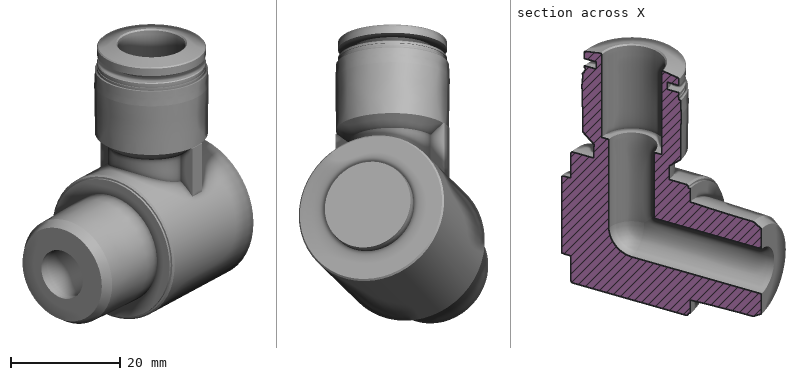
import cadquery as cq

body_diameter = 28.0
body_back = 12.8
body_front = -11.9
back_bevel = 0.3
front_bevel = 0.3
shoulder_diameter = 26.7
shoulder_front = -12.3
overall_y = 42.0
cap_back = 14.7
cap_diameter = 16.7
cap_tip_diameter = 16.5
cap_step = 13.9
stem_front = cap_back - overall_y
stem_root_diameter = 21.0
stem_end_diameter = 20.3
stem_tip_diameter = 18.15
stem_chamfer_length = 1.7

overall_z = 50.7
top_z = overall_z - body_diameter / 2
neck_diameter = 15.9
neck_top = 16.85
cup_diameter = 21.0
cup_end_diameter = 20.75
cup_bottom = 18.85
cup_widest = 28.65
cup_top = 31.55
collar_diameter = 20.0
collar_groove_diameter = 19.65
collar_groove_bottom = 32.05
collar_rim_bottom = 32.55
collar_top = 33.05
collar_bevel = 0.15
sleeve_diameter = 15.0
flange_diameter = 20.0
flange_bottom = 34.5
flange_crown = 0.55
flange_bevel = 0.2

rib_thickness = 3.0
bore_diameter = 9.5
socket_diameter = 12.5
socket_bottom = cup_bottom
socket_bevel = 0.25


def revolve_about_y(profile):
    """Revolve (diameter, y) steps about the Y axis."""
    points = [(diameter / 2, y) for diameter, y in profile]
    outline = [(0, profile[0][1])] + points + [(0, profile[-1][1])]
    return cq.Workplane("XY").polyline(outline).close().revolve(360, (0, 0, 0), (0, 1, 0))


def revolve_about_z(profile):
    """Revolve (diameter, z) steps about the Z axis."""
    points = [(diameter / 2, z) for diameter, z in profile]
    outline = [(0, profile[0][1])] + points + [(0, profile[-1][1])]
    return cq.Workplane("XZ").polyline(outline).close().revolve(360, (0, 0, 0), (0, 1, 0))


def make_body():
    """Round body with its back cap, front shoulder and tapered male stem."""
    return revolve_about_y([
        (stem_tip_diameter, stem_front),
        (stem_end_diameter, stem_front + stem_chamfer_length),
        (stem_root_diameter, shoulder_front),
        (shoulder_diameter, shoulder_front),
        (shoulder_diameter, body_front),
        (body_diameter - 2 * front_bevel, body_front),
        (body_diameter, body_front + front_bevel),
        (body_diameter, body_back - back_bevel),
        (body_diameter - 2 * back_bevel, body_back),
        (cap_diameter, body_back),
        (cap_diameter, cap_step),
        (cap_tip_diameter, cap_back),
    ])


def make_tube_socket():
    """Neck, cup, collar and release flange, stacked from the body axis up."""
    crown_edge_diameter = flange_diameter - 2 * flange_bevel
    return revolve_about_z([
        (neck_diameter, 0),
        (neck_diameter, neck_top),
        (cup_end_diameter, cup_bottom),
        (cup_diameter, cup_widest),
        (cup_end_diameter, cup_top),
        (collar_diameter, cup_top),
        (collar_diameter, collar_groove_bottom),
        (collar_groove_diameter, collar_groove_bottom),
        (collar_groove_diameter, collar_rim_bottom),
        (collar_diameter, collar_rim_bottom),
        (collar_diameter, collar_top - collar_bevel),
        (collar_diameter - 2 * collar_bevel, collar_top),
        (sleeve_diameter, collar_top),
        (sleeve_diameter, flange_bottom),
        (flange_diameter, flange_bottom),
        (flange_diameter, top_z - flange_crown - flange_bevel),
        (crown_edge_diameter, top_z - flange_crown),
        (socket_diameter + 2 * socket_bevel, top_z),
    ])


def make_ribs():
    """Flat web across the neck that shows as a rib on each side."""
    return cq.Workplane("XY").box(cup_diameter, rib_thickness, cup_bottom, centered=(True, True, False))


def make_passage():
    """Bore from the stem, turned by a ball at the corner, up to the wider tube socket."""
    stem_bore = revolve_about_y([(bore_diameter, stem_front), (bore_diameter, 0)])
    riser = revolve_about_z([
        (bore_diameter, 0),
        (bore_diameter, socket_bottom),
        (socket_diameter, socket_bottom),
        (socket_diameter, top_z - socket_bevel),
        (socket_diameter + 2 * socket_bevel, top_z),
    ])
    corner = cq.Workplane("XY").sphere(bore_diameter / 2)
    return stem_bore.union(riser).union(corner)


solid_fitting = make_body().union(make_tube_socket()).union(make_ribs())
result = solid_fitting.cut(make_passage())